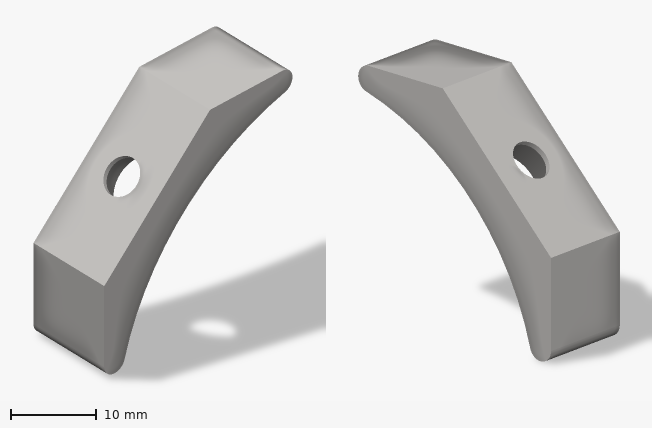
import cadquery as cq
import math

width = 12.0
size = 30.1
flat_length = 13.2
tip_radius = 1.65
inner_radius = 36.13
hole_diameter = 5.0
hole_depth = 0.72
bore_diameter = 9.48

slope_leg = size - flat_length
tip_center = size - tip_radius

center_distance = inner_radius + tip_radius
half_tip_span = (tip_center - tip_radius) / math.sqrt(2)
center_shift = math.sqrt(center_distance**2 - half_tip_span**2) / math.sqrt(2)
arc_center_y = size / 2 + center_shift
arc_center_z = size / 2 - center_shift


def mirrored(point):
    """Reflect a (y, z) point about the symmetry line y + z = size."""
    y, z = point
    return (size - z, size - y)


def make_body():
    """Extrude the bent profile, centred across the width."""
    contact_ratio = tip_radius / center_distance
    upper_contact = (
        tip_center + contact_ratio * (arc_center_y - tip_center),
        tip_center + contact_ratio * (arc_center_z - tip_center),
    )
    upper_flat_end = (tip_center, size)
    upper_tip_end = (size, tip_center)
    upper_corner = (slope_leg, size)
    arc_middle = (
        arc_center_y - inner_radius / math.sqrt(2),
        arc_center_z + inner_radius / math.sqrt(2),
    )
    return (
        cq.Workplane("YZ")
        .moveTo(*mirrored(upper_corner))
        .lineTo(*upper_corner)
        .lineTo(*upper_flat_end)
        .threePointArc(upper_tip_end, upper_contact)
        .threePointArc(arc_middle, mirrored(upper_contact))
        .threePointArc(mirrored(upper_tip_end), mirrored(upper_flat_end))
        .close()
        .extrude(width / 2, both=True)
    )


def make_stepped_hole():
    """Short hole square to the sloped face, opening into a wider bore behind it."""
    face_middle = cq.Vector(0, slope_leg / 2, size - slope_leg / 2)
    inward = cq.Vector(0, 1, -1).normalized()
    bore_start = face_middle + inward * hole_depth
    hole = cq.Solid.makeCylinder(hole_diameter / 2, size, face_middle, inward)
    bore = cq.Solid.makeCylinder(bore_diameter / 2, size, bore_start, inward)
    return cq.Workplane(obj=hole.fuse(bore))


result = make_body().cut(make_stepped_hole())